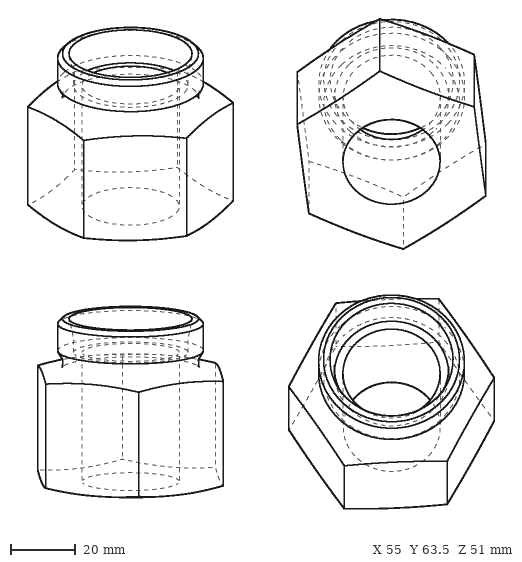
import cadquery as cq
import math

across_corners = 63.5
across_flats = across_corners * math.cos(math.radians(30))
hex_height = 35.0
hex_chamfer_angle = 15.0

total_height = 51.0
collar_radius = 45.0 / 2
neck_radius = 42.0 / 2
collar_bottom = 41.0
relief_angle = 30.0
neck_fillet = 1.3

bore_diameter = 30.0
seat_radius = 35.25 / 2
seat_depth = 10.5
mouth_radius = 38.0 / 2
mouth_half_angle = 12.0

collar_step = collar_radius - neck_radius
relief_height = collar_step / math.tan(math.radians(relief_angle))
mouth_depth = (mouth_radius - seat_radius) / math.tan(math.radians(mouth_half_angle))


def make_hex_body():
    """Hexagon with corners on the Y axis, both ends coned off down to the inscribed circle."""
    prism = cq.Workplane("XY").polygon(6, across_corners).extrude(hex_height)
    prism = prism.rotate((0, 0, 0), (0, 0, 1), 90)
    flat_radius = across_flats / 2
    corner_radius = across_corners / 2
    corner_drop = (corner_radius - flat_radius) * math.tan(math.radians(hex_chamfer_angle))
    envelope = (
        cq.Workplane("XZ")
        .moveTo(0, 0)
        .lineTo(flat_radius, 0)
        .lineTo(corner_radius, corner_drop)
        .lineTo(corner_radius, hex_height - corner_drop)
        .lineTo(flat_radius, hex_height)
        .lineTo(0, hex_height)
        .close()
        .revolve(360, (0, 0, 0), (0, 1, 0))
    )
    return prism.intersect(envelope)


def make_collar():
    """Collar with a 45-degree top chamfer, a conical relief and a neck rounded at both ends."""
    root_z = hex_height / 2
    slope = math.radians(relief_angle)
    cone_end_z = collar_bottom - relief_height
    tangent_length = neck_fillet * math.tan(slope / 2)
    cone_tangent = (
        neck_radius + tangent_length * math.sin(slope),
        cone_end_z + tangent_length * math.cos(slope),
    )
    return (
        cq.Workplane("XZ")
        .moveTo(0, root_z)
        .lineTo(neck_radius + neck_fillet, root_z)
        .lineTo(neck_radius + neck_fillet, hex_height)
        .radiusArc((neck_radius, hex_height + neck_fillet), neck_fillet)
        .lineTo(neck_radius, cone_end_z - tangent_length)
        .radiusArc(cone_tangent, neck_fillet)
        .lineTo(collar_radius, collar_bottom)
        .lineTo(collar_radius, total_height - collar_step)
        .lineTo(neck_radius, total_height)
        .lineTo(0, total_height)
        .close()
        .revolve(360, (0, 0, 0), (0, 1, 0))
    )


def make_socket():
    """Tapered mouth leading down to a straight-sided seat."""
    seat_z = total_height - seat_depth
    return (
        cq.Workplane("XZ")
        .moveTo(0, seat_z)
        .lineTo(seat_radius, seat_z)
        .lineTo(seat_radius, total_height - mouth_depth)
        .lineTo(mouth_radius, total_height)
        .lineTo(0, total_height)
        .close()
        .revolve(360, (0, 0, 0), (0, 1, 0))
    )


bore = cq.Workplane("XY").circle(bore_diameter / 2).extrude(total_height)
result = make_hex_body().union(make_collar()).cut(make_socket()).cut(bore)